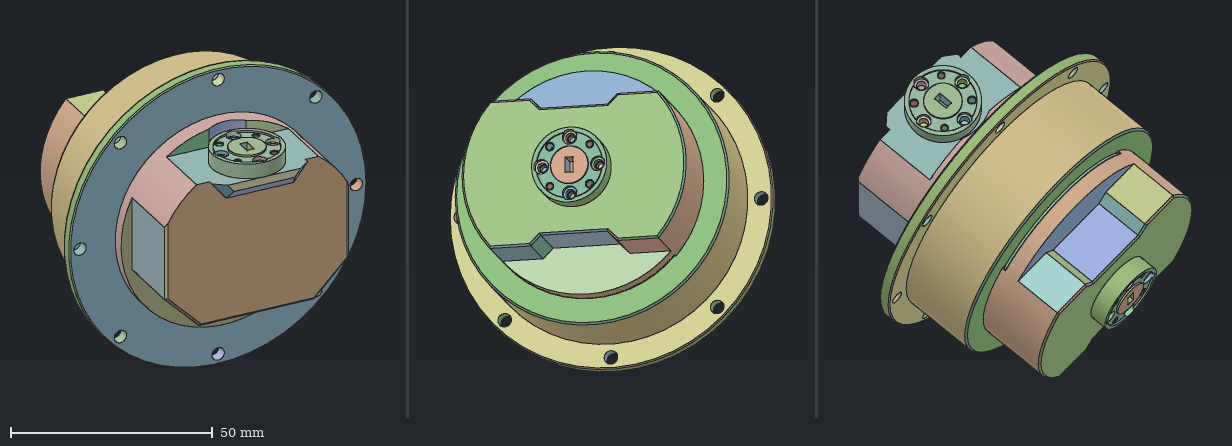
import cadquery as cq
import math


front_body_x = 4.7
disc_x = 18.2
neck_x = 22.45
drum_x = 23.45
mount_x = 43.3
hub_x = 46.55
rear_body_x = 49.8
top_flat_x = 51.6
rear_end_x = 68.2
part_length = 71.9

hub_radius = 28.6
neck_step = 0.25
neck_radius = hub_radius - neck_step
neck_gap = 0.25
drum_radius = 34.9
drum_chamfer = 0.5
mount_radius = 41.3
mount_chamfer = 0.3
mount_hole_count = 8
mount_hole_circle = 38.3
mount_hole_diameter = 3.4

front_half_height = 18.8
front_chamfer = 0.5
notch_depth = 2.6
notch_half_width = 11.1

rear_half_width = 25.5
rear_bottom_z = -16.8
rear_corner = 9.6
rear_chamfer = 0.7
top_flat_z = 23.0

bracket_half_width = 13.3
bracket_bottom_z = 18.1
bracket_straight = 1.2
bracket_side_bevel = 3.1
bracket_side_lean = 4.0
bracket_bottom_bevel = 2.8
bracket_root_x = 67.4

port_radius = 9.6
front_port_height = front_body_x
top_port_height = 4.05
port_recess_radius = 8.4
port_boss_radius = 4.8
port_recess_depth = 0.5
port_hole_circle = 7.2
screw_head_diameter = 3.6
screw_head_depth = 1.5
screw_diameter = 2.4
screw_core_diameter = 1.8
screw_step_depth = 3.0
wide_pin_diameter = 2.15
narrow_pin_diameter = 1.9
pin_mouth_depth = 0.3
pin_mouth_step = 0.21
drill_tip_half_angle = 59
guide_length = 3.9
guide_width = 2.0
port_clearance_radius = 11.9
top_port_x = part_length - port_radius


def disc(x_start, x_end, radius):
    """Solid cylinder on the X axis."""
    return cq.Workplane("YZ", origin=(x_start, 0, 0)).circle(radius).extrude(x_end - x_start)


def peg(place, diameter, bottom, top):
    """Upright cylinder at the given (x, y) place."""
    return cq.Workplane("XY", origin=(*place, bottom)).circle(diameter / 2).extrude(top - bottom)


def drill_tip(place, diameter, z):
    """Cone pointing down from height z."""
    radius = diameter / 2
    depth = radius / math.tan(math.radians(drill_tip_half_angle))
    profile = cq.Workplane("XZ").polyline([(0, 0), (radius, 0), (0, -depth)]).close()
    return profile.revolve(360, (0, 0), (0, 1)).translate((*place, z))


def on_circle(angle):
    """Place on the hole circle of a port."""
    turn = math.radians(angle)
    return (port_hole_circle * math.cos(turn), port_hole_circle * math.sin(turn))


screw_places = [on_circle(angle) for angle in (0, 90, 180, 270)]
wide_pin_places = [on_circle(angle) for angle in (45, 225)]
narrow_pin_places = [on_circle(angle) for angle in (135, 315)]
pin_holes = [(place, wide_pin_diameter) for place in wide_pin_places]
pin_holes += [(place, narrow_pin_diameter) for place in narrow_pin_places]
pin_cores = [(place, mouth - 2 * pin_mouth_step) for place, mouth in pin_holes]


def port_cavities(height, stepped_screws):
    """Everything cut from a port that stands on z = 0 with its face at the given height."""
    recess_floor = height - port_recess_depth
    cavities = (
        cq.Workplane("XY", origin=(0, 0, recess_floor))
        .circle(port_recess_radius)
        .circle(port_boss_radius)
        .extrude(port_recess_depth)
    )
    guide = cq.Workplane("XY").rect(guide_length, guide_width).extrude(height)
    cavities = cavities.union(guide)
    for place in screw_places:
        cavities = cavities.union(peg(place, screw_head_diameter, height - screw_head_depth, height))
        screw_bottom = height - screw_step_depth if stepped_screws else 0
        cavities = cavities.union(peg(place, screw_diameter, screw_bottom, height))
        if stepped_screws:
            cavities = cavities.union(peg(place, screw_core_diameter, 0, height))
    for place, diameter in pin_holes:
        cavities = cavities.union(peg(place, diameter, recess_floor - pin_mouth_depth, height))
    for place, diameter in pin_cores:
        cavities = cavities.union(peg(place, diameter, 0, height))
    return cavities


def port(height):
    return cq.Workplane("XY").circle(port_radius).extrude(height)


def face_forward(shape):
    """Turn an upright port so that its face looks along -X at x = 0."""
    return shape.rotate((0, 0, 0), (0, 1, 0), -90).translate((front_port_height, 0, 0))


def lift_to_top(shape):
    """Place an upright port on the top flat of the rear body."""
    return shape.translate((top_port_x, 0, top_flat_z))


def front_body():
    notch_floor = front_half_height - notch_depth
    floor_half_width = notch_half_width - notch_depth
    upper = [
        (-hub_radius, front_half_height),
        (-notch_half_width, front_half_height),
        (-floor_half_width, notch_floor),
        (floor_half_width, notch_floor),
        (notch_half_width, front_half_height),
        (hub_radius, front_half_height),
    ]
    lower = [(y, -z) for y, z in reversed(upper)]
    outline = cq.Workplane("YZ").polyline(upper + lower).close().extrude(drum_x)
    body = disc(front_body_x, disc_x, hub_radius).intersect(outline)
    body = body.faces("<X").chamfer(front_chamfer)

    band = cq.Workplane("XY").box(2 * part_length, 2 * hub_radius, 2 * front_half_height)
    body = body.union(disc(disc_x, neck_x, hub_radius))
    body = body.union(disc(neck_x, drum_x - neck_gap, neck_radius))
    return body.union(disc(neck_x, drum_x, hub_radius).intersect(band))


def drum():
    return disc(drum_x, mount_x, drum_radius).faces("<X").chamfer(drum_chamfer)


def mounting_flange():
    flange = disc(mount_x, hub_x, mount_radius).edges().chamfer(mount_chamfer)
    holes = (
        cq.Workplane("YZ", origin=(mount_x, 0, 0))
        .polarArray(mount_hole_circle, 0, 360, mount_hole_count)
        .circle(mount_hole_diameter / 2)
        .extrude(hub_x - mount_x)
    )
    return flange.cut(holes)


def rear_body():
    corner_y = rear_half_width - rear_corner
    corner_z = rear_bottom_z + rear_corner
    outline = [
        (-rear_half_width, hub_radius),
        (-rear_half_width, corner_z),
        (-corner_y, rear_bottom_z),
        (corner_y, rear_bottom_z),
        (rear_half_width, corner_z),
        (rear_half_width, hub_radius),
    ]
    length = rear_end_x - rear_body_x
    prism = cq.Workplane("YZ", origin=(rear_body_x, 0, 0)).polyline(outline).close().extrude(length)
    prism = prism.faces(">X").edges("not >Z").chamfer(rear_chamfer)
    body = disc(rear_body_x, rear_end_x, hub_radius).intersect(prism)
    body = body.union(disc(hub_x, rear_body_x, hub_radius))

    above_flat = hub_radius - top_flat_z
    flat = (
        cq.Workplane("XY", origin=(top_flat_x, 0, top_flat_z))
        .rect(rear_end_x - top_flat_x, 2 * hub_radius, centered=(False, True))
        .extrude(above_flat)
    )
    clearance = peg((top_port_x, 0), 2 * port_clearance_radius, top_flat_z, hub_radius)
    return body.cut(flat).cut(clearance)


def bracket():
    bevel_x = rear_end_x + bracket_straight

    def plan(half_width):
        tip_half_width = half_width - bracket_side_bevel
        return [
            (bracket_root_x, -half_width),
            (bevel_x, -half_width),
            (part_length, -tip_half_width),
            (part_length, tip_half_width),
            (bevel_x, half_width),
            (bracket_root_x, half_width),
        ]

    side = [
        (bracket_root_x, bracket_bottom_z),
        (bevel_x, bracket_bottom_z),
        (part_length, bracket_bottom_z + bracket_bottom_bevel),
        (part_length, top_flat_z),
        (bracket_root_x, top_flat_z),
    ]
    block = (
        cq.Workplane("XY", origin=(0, 0, bracket_bottom_z))
        .polyline(plan(bracket_half_width - bracket_side_lean))
        .close()
        .workplane(offset=top_flat_z - bracket_bottom_z)
        .polyline(plan(bracket_half_width))
        .close()
        .loft(ruled=True)
    )
    profile = cq.Workplane("XZ").polyline(side).close().extrude(bracket_half_width, both=True)
    return block.intersect(profile)


def front_drill_tips():
    """Pointed bottoms of the pin holes in the front port."""
    tips = cq.Workplane("XY")
    for place, diameter in pin_cores:
        tips = tips.union(drill_tip(place, diameter, 0))
    return face_forward(tips)


def bracket_drill_tips():
    """Pointed bottoms of the top port holes, only where these reach the bracket."""
    tips = cq.Workplane("XY")
    for place, diameter in pin_cores + [(screw_places[0], screw_diameter)]:
        tips = tips.union(drill_tip(place, diameter, 0))
    bracket_space = (
        cq.Workplane("XY", origin=(bracket_root_x, 0, 0))
        .rect(part_length - bracket_root_x, 2 * bracket_half_width, centered=(False, True))
        .extrude(top_flat_z)
    )
    return lift_to_top(tips).intersect(bracket_space)


result = front_body().union(drum()).union(mounting_flange()).union(rear_body()).union(bracket())
result = result.union(face_forward(port(front_port_height))).union(lift_to_top(port(top_port_height)))
result = result.cut(face_forward(port_cavities(front_port_height, stepped_screws=True)))
result = result.cut(lift_to_top(port_cavities(top_port_height, stepped_screws=False)))
result = result.cut(front_drill_tips()).cut(bracket_drill_tips())